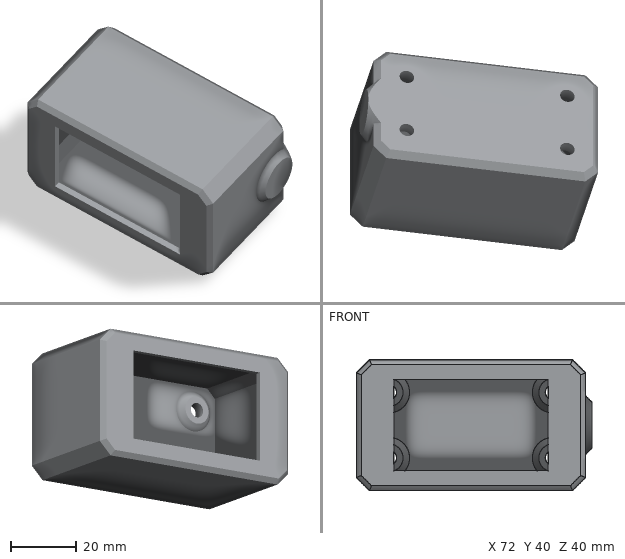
import cadquery as cq
import math

body_length = 70.0
body_depth = 40.0
body_height = 40.0
corner_chamfer = 4.0
front_rim_chamfer = 1.5
back_rim_chamfer = 2.0
wall = 2.0

window_length = 47.1
window_height = 27.8

screw_hole_diameter = 4.5
screw_spacing_x = 50.0
screw_spacing_z = 20.0
boss_rise = 2.0
boss_top_radius = screw_hole_diameter / 2 + 2.0
boss_base_radius = boss_top_radius + boss_rise

collar_rise = 2.0
collar_tip_radius = 7.0
collar_root_radius = collar_tip_radius + collar_rise + wall

front_y = -body_depth / 2
back_y = body_depth / 2
cavity_back_y = back_y - wall
side_x = body_length / 2
collar_y = back_y - collar_tip_radius

cavity_corner_chamfer = corner_chamfer - wall * (2 - math.sqrt(2))


def block(length, height, y_start, y_end):
    """Box centred on X and Z that runs from y_start to y_end."""
    depth = y_end - y_start
    return cq.Workplane("XY").box(length, depth, height).translate((0, (y_start + y_end) / 2, 0))


def make_shell():
    outer = block(body_length, body_height, front_y, back_y).edges("|Y").chamfer(corner_chamfer)
    outer = outer.faces("<Y").chamfer(front_rim_chamfer)
    outer = outer.faces(">Y").chamfer(back_rim_chamfer)
    return outer


def make_cavity():
    length = body_length - 2 * wall
    height = body_height - 2 * wall
    cavity = block(length, height, front_y + wall, cavity_back_y)
    return cavity.edges("|Y").chamfer(cavity_corner_chamfer)


def make_window():
    return block(window_length, window_height, front_y, front_y + wall)


def make_collar():
    """Cone rooted at the inner side of the wall, so that it also fills the rim chamfer behind it."""
    profile = [
        (side_x - wall, 0),
        (side_x - wall, collar_root_radius),
        (side_x + collar_rise, collar_tip_radius),
        (side_x + collar_rise, 0),
    ]
    collar = cq.Workplane("XY").polyline(profile).close().revolve(360, (0, 0, 0), (1, 0, 0))
    collar = collar.translate((0, collar_y, 0))
    trim = block(body_length + 2 * collar_rise, body_height, front_y, back_y)
    return collar.intersect(trim)


def make_boss(x, z):
    base = cq.Vector(x, cavity_back_y, z)
    toward_front = cq.Vector(0, -1, 0)
    return cq.Solid.makeCone(boss_base_radius, boss_top_radius, boss_rise, base, toward_front)


def make_screw_hole(x, z):
    start = cq.Vector(x, cavity_back_y - boss_rise, z)
    toward_back = cq.Vector(0, 1, 0)
    return cq.Solid.makeCylinder(screw_hole_diameter / 2, boss_rise + wall, start, toward_back)


result = make_shell().cut(make_cavity()).cut(make_window()).union(make_collar())

for x_sign in (-1, 1):
    for z_sign in (-1, 1):
        screw_x = x_sign * screw_spacing_x / 2
        screw_z = z_sign * screw_spacing_z / 2
        result = result.union(cq.Workplane(make_boss(screw_x, screw_z)))
        result = result.cut(cq.Workplane(make_screw_hole(screw_x, screw_z)))